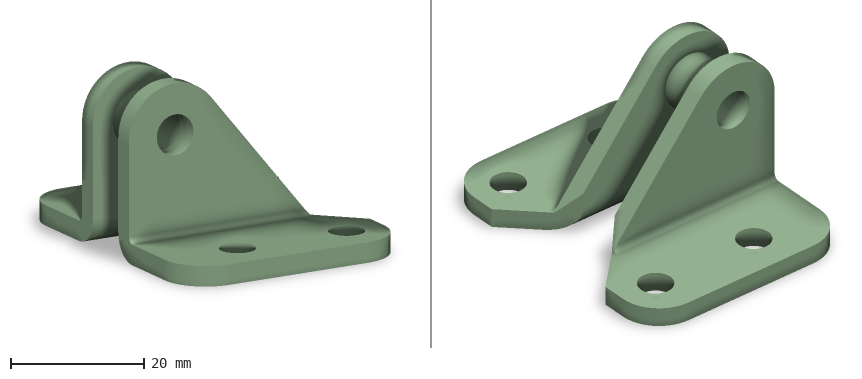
import cadquery as cq
import math

length = 49.2
depth = 38.1
height = 26.95

sheet = 3.2
gap = 7.5
bend_inner_radius = 1.0
bend_outer_radius = bend_inner_radius + sheet
corner_radius = 7.0
clip = 9.75

mount_hole_diameter = 5.6
mount_hole_inset = 7.15
mount_hole_first = 12.65
mount_hole_pitch = 19.0

ear_radius = 8.0
ear_hole_diameter = 6.4
ear_foot = 31.4

spacer_diameter = 9.45
spacer_edge_radius = 0.5
bore_chamfer = 0.4

half_length = length / 2
inner_face = gap / 2
outer_face = inner_face + sheet
axis_y = ear_radius
axis_z = height - ear_radius


def bent_sheet():
    """L-shaped sheet with concentric bend radii, along the full depth."""
    return (
        cq.Workplane("XZ")
        .moveTo(inner_face, height)
        .lineTo(inner_face, bend_outer_radius)
        .radiusArc((inner_face + bend_outer_radius, 0), -bend_outer_radius)
        .lineTo(half_length, 0)
        .lineTo(half_length, sheet)
        .lineTo(outer_face + bend_inner_radius, sheet)
        .radiusArc((outer_face, sheet + bend_inner_radius), bend_inner_radius)
        .lineTo(outer_face, height)
        .close()
        .extrude(-depth)
    )


def side_outline():
    """Flange and ear as seen along X; the sloping edge is tangent to the round top."""
    foot_y = ear_foot - axis_y
    foot_z = sheet - axis_z
    foot_angle = math.atan2(foot_z, foot_y)
    tangent_angle = foot_angle + math.acos(ear_radius / math.hypot(foot_y, foot_z))
    tangent_y = axis_y + ear_radius * math.cos(tangent_angle)
    tangent_z = axis_z + ear_radius * math.sin(tangent_angle)
    return (
        cq.Workplane("YZ")
        .lineTo(depth, 0)
        .lineTo(depth, sheet)
        .lineTo(ear_foot, sheet)
        .lineTo(tangent_y, tangent_z)
        .threePointArc((axis_y, height), (0, axis_z))
        .close()
        .extrude(half_length)
    )


def plan_outline():
    """Plan shape: two rounded outer corners and a clipped inner rear corner."""
    return (
        cq.Workplane("XY")
        .moveTo(inner_face, 0)
        .lineTo(half_length - corner_radius, 0)
        .radiusArc((half_length, corner_radius), -corner_radius)
        .lineTo(half_length, depth - corner_radius)
        .radiusArc((half_length - corner_radius, depth), -corner_radius)
        .lineTo(inner_face + clip, depth)
        .lineTo(inner_face, depth - clip)
        .close()
        .extrude(height)
    )


def make_right_bracket():
    hole_x = half_length - mount_hole_inset
    mount_holes = (
        cq.Workplane("XY")
        .pushPoints([(hole_x, mount_hole_first + i * mount_hole_pitch) for i in range(2)])
        .circle(mount_hole_diameter / 2)
        .extrude(sheet)
    )
    ear_hole = (
        cq.Workplane("YZ")
        .center(axis_y, axis_z)
        .circle(ear_hole_diameter / 2)
        .extrude(half_length)
    )
    bracket = bent_sheet().intersect(side_outline()).intersect(plan_outline())
    return bracket.cut(mount_holes).cut(ear_hole)


def make_bracket(side):
    """Bracket on the +X side (side = 1) or its mirror image on the -X side (side = -1)."""
    bracket = make_right_bracket()
    return bracket if side > 0 else bracket.mirror("YZ")


def make_spacer():
    """Tube filling the gap, rounded outside and chamfered at the ends of its bore."""
    barrel = (
        cq.Workplane("YZ", origin=(-inner_face, axis_y, axis_z))
        .circle(spacer_diameter / 2)
        .extrude(gap)
        .faces("<X or >X")
        .edges()
        .fillet(spacer_edge_radius)
    )
    tube = barrel.faces(">X").workplane().hole(ear_hole_diameter)
    return tube.faces("<X or >X").edges(cq.selectors.RadiusNthSelector(0)).chamfer(bore_chamfer)


brackets = [make_bracket(side) for side in (-1, 1)]
spacer = make_spacer()

result = cq.Compound.makeCompound([*[bracket.val() for bracket in brackets], spacer.val()])